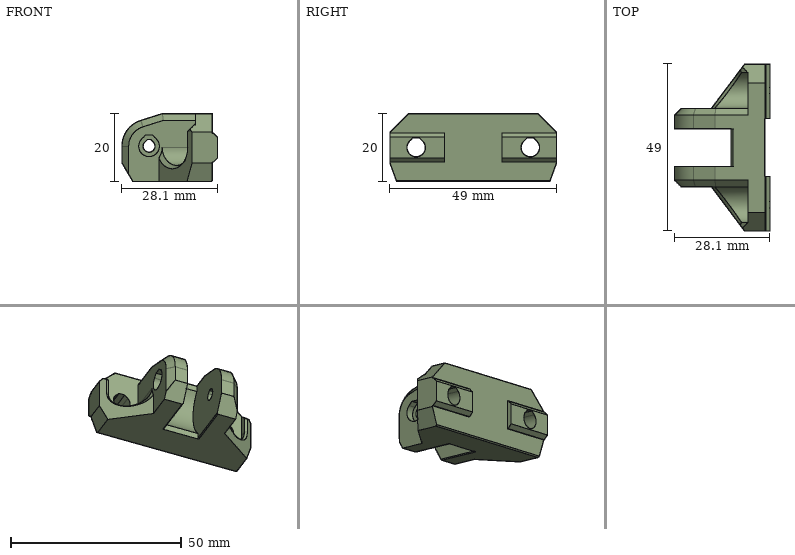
import cadquery as cq
import math

width = 49.0
half_width = width / 2
height = 20.0
back_x = 26.6
plate_thickness = 5.0
plate_front_x = back_x - plate_thickness
end_corner_height = 5.5
end_bottom_inset = 2.0
back_edge_chamfer = 0.4

arm_inner_y = 5.5
arm_outer_y = 11.5
arm_radius = 8.0
arm_chamfer = 2.0
arm_slope_angle = 17.5
toe_length = 3.25
toe_height = 5.5
pin_x = arm_radius
pin_z = 10.4
pin_diameter = 3.45
pin_head_diameter = 6.1
pin_head_depth = 2.5

knuckle_radius = 12.0
knuckle_lip = 2.0
slot_edge_chamfer = 0.3

wing_front_x = 10.9
wing_end_thickness = 6.0
wing_end_x = back_x - wing_end_thickness
mount_y = 16.75
mount_z = height / 2
mount_diameter = 5.35
pocket_radius = mount_y - arm_outer_y
pocket_edge_chamfer = 1.0

pad_inner_y = 8.5
pad_outer_y = half_width
pad_half_height = 4.25
pad_lip = 0.3
pad_chamfer = 1.22

roof_relief = 0.2

pick_margin = 0.05


def prism_along_y(points, y_start, y_end):
    """Extrude a closed XZ polygon between two Y positions."""
    outline = cq.Workplane("XZ", origin=(0, y_start, 0)).polyline(points).close()
    return outline.extrude(y_start - y_end)


def roofed_hole(plane, centre, diameter, length):
    """Cutter for a horizontal round hole with 45 degree shoulders and a flat roof."""
    radius = diameter / 2
    shoulder = radius * math.sqrt(0.5)
    roof = radius + roof_relief
    roof_half_width = radius * math.sqrt(2) - roof
    return (
        cq.Workplane(plane, origin=centre)
        .moveTo(shoulder, shoulder)
        .threePointArc((0, -radius), (-shoulder, shoulder))
        .lineTo(-roof_half_width, roof)
        .lineTo(roof_half_width, roof)
        .close()
        .extrude(length)
    )


def end_envelope():
    """Full-depth block with the end silhouette: 45 degree top and steep bottom corners."""
    half_outline = [
        (half_width - end_bottom_inset, 0),
        (half_width, end_corner_height),
        (half_width, height - end_corner_height),
        (half_width - end_corner_height, height),
    ]
    mirrored = [(-y, z) for y, z in reversed(half_outline)]
    return cq.Workplane("YZ").polyline(half_outline + mirrored).close().extrude(back_x)


def back_plate():
    """Plate behind the arms, reaching forward to the outer ends of the wings."""
    plate = cq.Workplane("XY").box(plate_thickness, width, height, centered=(False, True, False))
    return plate.translate((plate_front_x, 0, 0))


def arm():
    """One hinge arm on the +Y side, chamfered along its outer edge."""
    angle = math.radians(arm_slope_angle)
    tangent_x = pin_x - arm_radius * math.sin(angle)
    tangent_z = pin_z + arm_radius * math.cos(angle)
    slope_end_x = tangent_x + (height - tangent_z) / math.tan(angle)
    arc_angle = (math.pi / 2 - angle) / 2
    arc_middle = (pin_x - arm_radius * math.cos(arc_angle), pin_z + arm_radius * math.sin(arc_angle))

    solid = (
        cq.Workplane("XZ", origin=(0, arm_outer_y, 0))
        .moveTo(plate_front_x, 0)
        .lineTo(toe_length, 0)
        .lineTo(0, toe_height)
        .lineTo(0, pin_z)
        .threePointArc(arc_middle, (tangent_x, tangent_z))
        .lineTo(slope_end_x, height)
        .lineTo(plate_front_x, height)
        .close()
        .extrude(arm_outer_y)
    )

    rounded_zone = cq.selectors.BoxSelector(
        (-pick_margin, 0, toe_height),
        (plate_front_x - pick_margin, width, height + pick_margin),
    )
    return solid.faces(">Y").edges(rounded_zone).chamfer(arm_chamfer)


def wing():
    """Sloping +Y wing with its open-topped screw pocket and bevelled top."""
    slope = (wing_end_x - wing_front_x) / (half_width - arm_outer_y)
    root_x = wing_front_x - slope * (arm_outer_y - arm_inner_y)
    pocket_outer_y = mount_y + pocket_radius

    solid = (
        cq.Workplane("XY")
        .polyline([
            (root_x, arm_inner_y),
            (back_x, arm_inner_y),
            (back_x, half_width),
            (wing_end_x, half_width),
        ])
        .close()
        .extrude(height)
    )
    pocket = (
        cq.Workplane("YZ")
        .moveTo(arm_outer_y, height)
        .lineTo(arm_outer_y, mount_z)
        .threePointArc((mount_y, mount_z - pocket_radius), (pocket_outer_y, mount_z))
        .lineTo(pocket_outer_y, height)
        .close()
        .extrude(plate_front_x)
    )
    solid = solid.cut(pocket)

    slope_normal = cq.Vector(-1, slope, 0)
    rim_zone = cq.selectors.BoxSelector(
        (0, arm_outer_y - pick_margin, pick_margin),
        (plate_front_x, pocket_outer_y + pick_margin, height - pick_margin),
    )
    solid = (
        solid.faces(cq.selectors.DirectionMinMaxSelector(slope_normal))
        .edges(rim_zone)
        .chamfer(pocket_edge_chamfer)
    )

    bevel_z = height - end_corner_height + half_width - pocket_outer_y
    bevel_drop = bevel_z - mount_z
    bevel = prism_along_y(
        [
            (plate_front_x, bevel_z),
            (plate_front_x - bevel_drop, bevel_z - bevel_drop),
            (plate_front_x - bevel_drop, height),
            (plate_front_x, height),
        ],
        mount_y,
        half_width,
    )
    outside_arm = cq.Workplane("XY").box(back_x, half_width, height, centered=False)
    return solid.cut(bevel).intersect(outside_arm.translate((0, arm_outer_y, 0)))


def pad():
    """Locating pad on the back at the +Y side, with bevelled long edges."""
    lip_x = back_x + pad_lip
    pad_x = lip_x + pad_chamfer
    flat_half_height = pad_half_height - pad_chamfer
    return prism_along_y(
        [
            (plate_front_x, mount_z - pad_half_height),
            (lip_x, mount_z - pad_half_height),
            (pad_x, mount_z - flat_half_height),
            (pad_x, mount_z + flat_half_height),
            (lip_x, mount_z + pad_half_height),
            (plate_front_x, mount_z + pad_half_height),
        ],
        pad_inner_y,
        pad_outer_y,
    )


def knuckle_slot():
    """Space between the arms, with a round back centred on the pin axis."""
    slot_width = 2 * arm_inner_y
    top_z = height - knuckle_lip
    top_x = pin_x + math.sqrt(knuckle_radius**2 - (top_z - pin_z)**2)
    bottom_x = pin_x + math.sqrt(knuckle_radius**2 - (pin_z - knuckle_lip)**2)
    slot = (
        cq.Workplane("XZ", origin=(0, arm_inner_y, 0))
        .moveTo(0, 0)
        .lineTo(bottom_x, 0)
        .lineTo(bottom_x, knuckle_lip)
        .threePointArc((pin_x + knuckle_radius, pin_z), (top_x, top_z))
        .lineTo(top_x, height)
        .lineTo(0, height)
        .close()
        .extrude(slot_width)
    )
    flared_half_width = arm_inner_y + slot_edge_chamfer
    flare = (
        cq.Workplane("YZ")
        .polyline([
            (-flared_half_width, 0),
            (flared_half_width, 0),
            (arm_inner_y, slot_edge_chamfer),
            (-arm_inner_y, slot_edge_chamfer),
        ])
        .close()
        .extrude(bottom_x)
    )
    return slot.union(flare)


half_body = arm().union(wing())
body = back_plate().union(half_body).union(half_body.mirror("XZ"))
body = body.intersect(end_envelope())
body = body.edges(">X and <Z").chamfer(back_edge_chamfer)
body = body.cut(knuckle_slot())
body = body.union(pad()).union(pad().mirror("XZ"))

body = body.cut(roofed_hole("XZ", (pin_x, half_width, pin_z), pin_diameter, width))
pin_head = roofed_hole("XZ", (pin_x, arm_outer_y, pin_z), pin_head_diameter, pin_head_depth)
body = body.cut(pin_head).cut(pin_head.mirror("XZ"))

mount_length = 2 * plate_thickness
for side in (-1, 1):
    centre = (plate_front_x, side * mount_y, mount_z)
    body = body.cut(roofed_hole("YZ", centre, mount_diameter, mount_length))

result = body